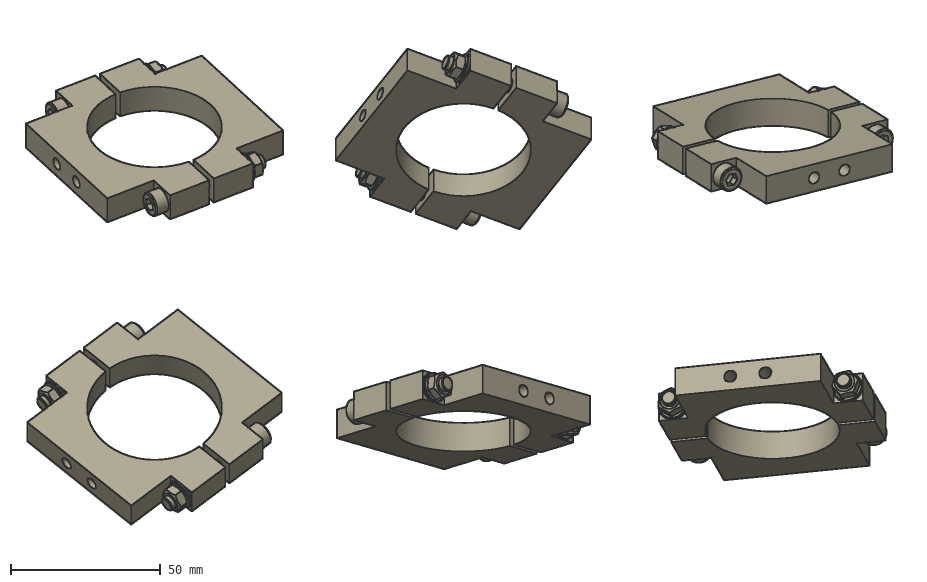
import cadquery as cq
import math

overall = 70.0
thickness = 10.0
block_width = 50.0
bore_diameter = 45.0
split_gap = 1.8
ear_face_y = 16.5

mount_hole_diameter = 4.1
mount_hole_spacing = 12.05
mount_hole_depth = 8.4
drill_half_angle = 59.0

screw_x = (overall + block_width) / 4
screw_diameter = 5.0
screw_end_y = 23.4
screw_end_chamfer = 0.3
head_diameter = 8.5
head_height = 5.0
head_chamfer = 0.5
socket_flats = 4.0
socket_depth = 2.5
left_screw_turn = 50.5
right_screw_turn = 34.5

washer_diameter = 10.0
washer_thickness = 1.0
washer_chamfer = 0.2
nut_flats = 8.0
nut_height = 4.05
nut_face_diameter = 6.7
nut_chamfer_angle = 30.0


def across_corners(flats):
    return flats / math.cos(math.radians(30))


def along_y(start_y, x=0.0):
    """Workplane on the line (x, z=0), with local X along X, local Y along Z and its normal along -Y."""
    return cq.Workplane("XZ", origin=(x, start_y, 0))


def make_clamp():
    body = cq.Workplane("XY").box(block_width, overall, thickness)
    ears = cq.Workplane("XY").box(overall, 2 * ear_face_y, thickness)
    bore = cq.Workplane("XY").circle(bore_diameter / 2).extrude(thickness, both=True)
    split = cq.Workplane("XY").box(overall, split_gap, thickness)
    return body.union(ears).cut(bore).cut(split)


def make_mount_hole(x):
    """Blind drilled hole entering the -Y end face."""
    radius = mount_hole_diameter / 2
    tip_height = radius / math.tan(math.radians(drill_half_angle))
    profile = [(0, 0), (radius, 0), (radius, mount_hole_depth), (0, mount_hole_depth + tip_height)]
    hole = cq.Workplane("XY").polyline(profile).close().revolve(360, (0, 0), (0, 1))
    return hole.translate((x, -overall / 2, 0))


def make_socket(x, turn):
    """Hexagon socket with a conical bottom, entering the outer face of the screw head."""
    corners = across_corners(socket_flats)
    mouth_y = -ear_face_y - head_height
    floor_y = mouth_y + socket_depth
    tip_height = corners / 2 / math.tan(math.radians(drill_half_angle))
    prism_length = socket_depth + tip_height
    prism = along_y(mouth_y, x).transformed(rotate=(0, 0, turn)).polygon(6, corners).extrude(-prism_length)
    profile = [
        (0, mouth_y),
        (corners / 2, mouth_y),
        (corners / 2, floor_y),
        (0, floor_y + tip_height),
    ]
    drill = cq.Workplane("XY").polyline(profile).close().revolve(360, (0, 0), (0, 1))
    return prism.intersect(drill.translate((x, 0, 0)))


def make_screw(x, turn):
    shank = along_y(screw_end_y, x).circle(screw_diameter / 2).extrude(screw_end_y + ear_face_y)
    shank = shank.faces(">Y").chamfer(screw_end_chamfer)
    head = along_y(-ear_face_y, x).circle(head_diameter / 2).extrude(head_height)
    head = head.faces("<Y").chamfer(head_chamfer)
    return shank.union(head).cut(make_socket(x, turn))


def make_nut(x, turn):
    """Hexagon nut whose corners are cut back by a cone at both ends."""
    corners = across_corners(nut_flats)
    bottom_y = ear_face_y + washer_thickness
    top_y = bottom_y + nut_height
    chamfer_height = (corners - nut_face_diameter) / 2 * math.tan(math.radians(nut_chamfer_angle))
    prism = along_y(top_y, x).transformed(rotate=(0, 0, turn)).polygon(6, corners).extrude(nut_height)
    profile = [
        (0, bottom_y),
        (nut_face_diameter / 2, bottom_y),
        (corners / 2, bottom_y + chamfer_height),
        (corners / 2, top_y - chamfer_height),
        (nut_face_diameter / 2, top_y),
        (0, top_y),
    ]
    envelope = cq.Workplane("XY").polyline(profile).close().revolve(360, (0, 0), (0, 1))
    return prism.intersect(envelope.translate((x, 0, 0)))


def make_washer(x):
    washer = along_y(ear_face_y, x).circle(washer_diameter / 2).extrude(-washer_thickness)
    return washer.faces(">Y").chamfer(washer_chamfer)


result = make_clamp()

for hole_x in (-mount_hole_spacing / 2, mount_hole_spacing / 2):
    mount_hole = make_mount_hole(hole_x)
    result = result.cut(mount_hole).cut(mount_hole.mirror("XZ"))

for x, turn in ((-screw_x, left_screw_turn), (screw_x, right_screw_turn)):
    result = result.union(make_screw(x, turn)).union(make_washer(x)).union(make_nut(x, turn))